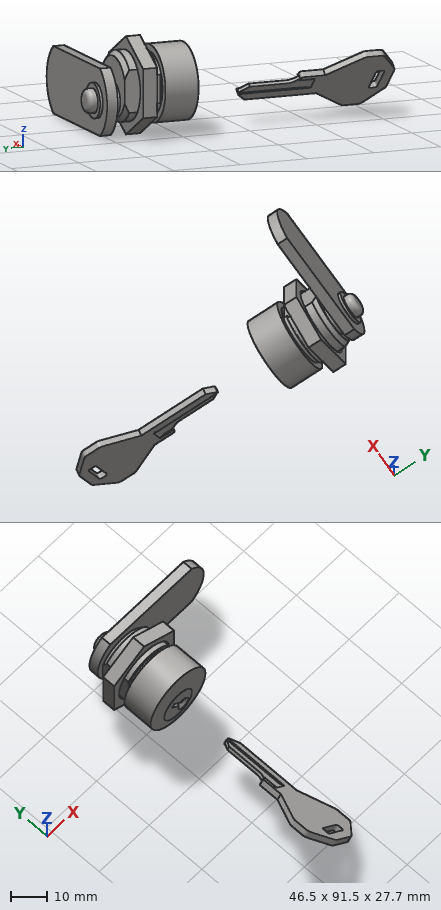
import cadquery as cq
import math


overall_length = 91.5

head_diameter = 22.0
head_length = 10.0
collar_end = 10.25
neck_diameter = 17.9
neck_end = 11.3
thread_diameter = 20.0
thread_end = 20.95
thread_chamfer = 1.4
width_over_flats = 16.0

nut_sides = 6
nut_across_corners = 27.7
nut_start = 12.9
nut_thickness = 4.2
nut_turn = 30.0

plug_z = -3.5
plug_face_diameter = 11.1
plug_face_length = 7.3
plug_shaft_diameter = 10.0
plug_shaft_end = 27.0
plug_tip_diameter = 6.95
plug_tip_end = 29.6
plug_tip_round = 1.6

countersink_diameter = 4.0
countersink_depth = 2.0
countersink_offset = 3.0
slot_left = -2.6
slot_right = 3.8
slot_width = 1.3

cam_start = 23.0
cam_thickness = 3.2
cam_width = 19.0
cam_straight_left = -2.9
cam_straight_right = 29.65
cam_left = -8.0
cam_right = 34.5

key_thickness = 2.0
key_center_offset = 0.5
key_tip_y = -16.9
key_end_y = plug_tip_end - overall_length
bow_half_width = 12.0
bow_end_half_width = 4.5
bow_front_y = -51.1
bow_rear_y = -56.5
bow_round = 2.0
shank_half_width = 4.5
shank_end_y = -41.1
shoulder_y = -34.0
shoulder_round = 0.7
shoulder_flat_end = -3.2
shoulder_arc = 4.6
blade_left = -1.3
blade_shoulder_y = -31.2
tip_taper_y = -19.6
tip_left = 1.1
tip_right = 1.8
groove_depth = 0.5
groove_left = -2.9
groove_right = 1.4
groove_end_y = -38.4
groove_cutter_radius = 4.7
ring_slot_length = 8.2
ring_slot_width = 2.5
ring_slot_y = -57.8
ring_slot_round = 0.6

slot_depth = key_tip_y - shoulder_y

key_plane = cq.Plane(origin=(0, 0, plug_z), xDir=(1, 0, -1), normal=(1, 0, 1))


def section(start):
    """Workplane facing +Y at the given Y position; its x axis is X and its y axis is -Z."""
    return cq.Workplane(cq.Plane(origin=(0, start, 0), xDir=(1, 0, 0), normal=(0, 1, 0)))


def cylinder(diameter, start, end, center_z=0.0):
    return section(start).center(0, -center_z).circle(diameter / 2).extrude(end - start)


def make_plug_envelope():
    face = cylinder(plug_face_diameter, 0, plug_face_length, plug_z)
    shaft = cylinder(plug_shaft_diameter, plug_face_length, plug_shaft_end, plug_z)
    tip = cylinder(plug_tip_diameter, plug_shaft_end, plug_tip_end, plug_z)
    tip = tip.faces(">Y").edges().fillet(plug_tip_round)
    return face.union(shaft).union(tip)


def make_housing():
    head = cylinder(head_diameter, 0, head_length)
    collar = cylinder(neck_diameter, head_length, collar_end)
    neck = cylinder(neck_diameter, collar_end, neck_end)
    thread = cylinder(thread_diameter, neck_end, thread_end)
    thread = thread.faces(">Y").edges().chamfer(thread_chamfer)
    flats = section(collar_end).rect(width_over_flats, 2 * head_diameter).extrude(thread_end - collar_end)
    flatted = neck.union(thread).intersect(flats)
    return head.union(collar).union(flatted).cut(make_plug_envelope())


def make_nut():
    nut = section(nut_start).transformed(rotate=(0, 0, nut_turn)).polygon(nut_sides, nut_across_corners)
    nut = nut.extrude(nut_thickness)
    return nut.cut(cylinder(thread_diameter, nut_start, nut_start + nut_thickness))


def make_plug():
    shift = countersink_offset / math.sqrt(2)
    tip_radius = 0
    cone = cq.Solid.makeCone(
        countersink_diameter / 2,
        tip_radius,
        countersink_depth,
        cq.Vector(shift, 0, plug_z - shift),
        cq.Vector(0, 1, 0),
    )
    slot = (
        cq.Workplane(key_plane)
        .center((slot_left + slot_right) / 2, slot_depth / 2)
        .rect(slot_right - slot_left, slot_depth)
        .extrude(slot_width / 2, both=True)
    )
    return make_plug_envelope().cut(cq.Workplane(cone)).cut(slot)


def make_cam():
    half_width = cam_width / 2
    cam = (
        section(cam_start)
        .center(0, -plug_z)
        .moveTo(cam_straight_left, -half_width)
        .lineTo(cam_straight_right, -half_width)
        .threePointArc((cam_right, 0), (cam_straight_right, half_width))
        .lineTo(cam_straight_left, half_width)
        .threePointArc((cam_left, 0), (cam_straight_left, -half_width))
        .close()
        .extrude(cam_thickness)
    )
    return cam.cut(make_plug_envelope())


def make_key_blank():
    shank = (
        cq.Workplane()
        .moveTo(tip_left, key_tip_y)
        .lineTo(tip_right, key_tip_y)
        .lineTo(shank_half_width, tip_taper_y)
        .lineTo(shank_half_width, shank_end_y)
        .lineTo(-shank_half_width, shank_end_y)
        .lineTo(-shank_half_width, shoulder_y - shoulder_round)
        .radiusArc((-shank_half_width + shoulder_round, shoulder_y), shoulder_round)
        .lineTo(shoulder_flat_end, shoulder_y)
        .radiusArc((blade_left, blade_shoulder_y), -shoulder_arc)
        .lineTo(blade_left, tip_taper_y)
        .close()
        .extrude(key_thickness / 2, both=True)
    )
    bow = (
        cq.Workplane()
        .moveTo(-shank_half_width, shank_end_y)
        .lineTo(shank_half_width, shank_end_y)
        .lineTo(bow_half_width, bow_front_y)
        .lineTo(bow_half_width, bow_rear_y)
        .lineTo(bow_end_half_width, key_end_y)
        .lineTo(-bow_end_half_width, key_end_y)
        .lineTo(-bow_half_width, bow_rear_y)
        .lineTo(-bow_half_width, bow_front_y)
        .close()
        .extrude(key_thickness / 2, both=True)
    )
    for side in ("<X", ">X", "<Y"):
        bow = bow.faces(side).edges("|Z").fillet(bow_round)
    return shank.union(bow)


def make_groove():
    """Groove in the upper face of the flat key, open at the tip, ending in a cutter run-out."""
    face = key_thickness / 2
    floor = face - groove_depth
    runout = math.sqrt(groove_cutter_radius**2 - (groove_cutter_radius - groove_depth) ** 2)
    return (
        cq.Workplane("YZ", origin=(groove_left, 0, 0))
        .moveTo(groove_end_y, face)
        .radiusArc((groove_end_y + runout, floor), -groove_cutter_radius)
        .lineTo(key_tip_y, floor)
        .lineTo(key_tip_y, face)
        .close()
        .extrude(groove_right - groove_left)
    )


def make_key():
    """Key modelled flat on the XY plane, then moved into the plane of the keyway."""
    ring_slot = (
        cq.Workplane(origin=(0, ring_slot_y, 0))
        .rect(ring_slot_length, ring_slot_width)
        .extrude(key_thickness, both=True)
        .edges("|Z")
        .fillet(ring_slot_round)
    )
    groove = make_groove()
    flat_key = make_key_blank().cut(ring_slot).cut(groove).cut(groove.mirror("XY"))
    centered_key = flat_key.translate((key_center_offset, 0, 0))
    return cq.Workplane(centered_key.val().moved(cq.Location(key_plane)))


housing = make_housing()
nut = make_nut()
plug = make_plug()
cam = make_cam()
key = make_key()

bodies = [housing, nut, plug, cam, key]
result = cq.Compound.makeCompound([body.solids().val() for body in bodies])